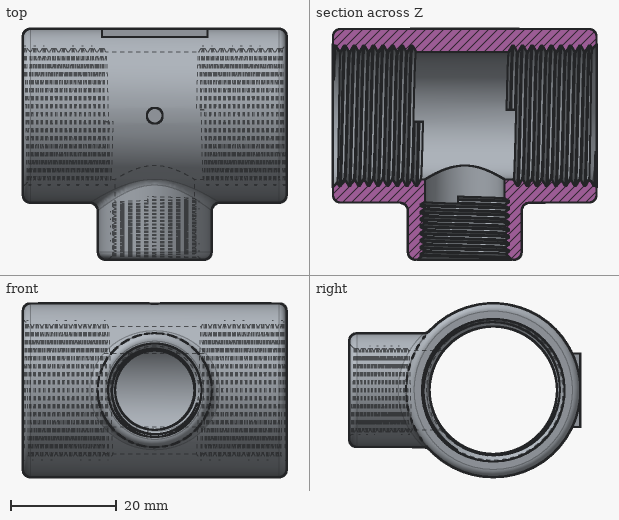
import cadquery as cq
import math

RUN_LENGTH = 50.0
RUN_DIAMETER = 33.0
RUN_BORE_DIAMETER = 24.1
RUN_THREAD_PITCH = 1.814
RUN_COUNTERSINK_DIAMETER = 27.0
RUN_THREAD_LENGTH = 16.3

BRANCH_REACH = 27.3
BRANCH_DIAMETER = 21.6
BRANCH_BORE_DIAMETER = 15.0
BRANCH_THREAD_PITCH = 1.337
BRANCH_COUNTERSINK_DIAMETER = 17.7
BRANCH_THREAD_LENGTH = 11.4

EDGE_RADIUS = 1.5

PAD_LENGTH = 20.0
PAD_HEIGHT = 14.0

MARK_DIAMETER = 3.0
MARK_DEPTH = 0.2

THREAD_FLANK_ANGLE = math.radians(30)
THREAD_FLAT_SHARE = 1 / 8
BORE_OVERLAP = 0.05

run_radius = RUN_DIAMETER / 2

RUN_END_PLANES = [
    cq.Plane(origin=(side * RUN_LENGTH / 2, 0, 0), xDir=(0, 0, -1), normal=(-side, 0, 0))
    for side in (-1, 1)
]
BRANCH_END_PLANE = cq.Plane(origin=(0, -BRANCH_REACH, 0), xDir=(0, 0, 1), normal=(0, 1, 0))


def make_outer_body():
    """Solid run and branch, filleted together and rounded at the rims."""
    run = cq.Workplane(RUN_END_PLANES[0]).circle(run_radius).extrude(RUN_LENGTH)
    branch = cq.Workplane(BRANCH_END_PLANE).circle(BRANCH_DIAMETER / 2).extrude(BRANCH_REACH)
    joint_box = cq.selectors.BoxSelector(
        (-BRANCH_DIAMETER, -BRANCH_REACH + EDGE_RADIUS, -BRANCH_DIAMETER),
        (BRANCH_DIAMETER, 0, BRANCH_DIAMETER),
    )
    body = run.union(branch)
    body = body.edges(joint_box).fillet(EDGE_RADIUS)
    return body.faces("<X or >X or <Y").edges().fillet(EDGE_RADIUS)


def make_pad():
    """Block from the run axis out to the run's outermost line on the +Y side."""
    return cq.Workplane("XY").box(PAD_LENGTH, run_radius, PAD_HEIGHT, centered=(True, False, True))


def make_mark():
    """Cutter for the round mark on top of the run."""
    floor = run_radius - MARK_DEPTH
    return cq.Workplane("XY").workplane(offset=floor).circle(MARK_DIAMETER / 2).extrude(MARK_DEPTH)


def make_countersink(plane, outer_diameter, bore_diameter):
    """45 degree cone that opens a bore at an end face."""
    outer = outer_diameter / 2
    depth = (outer_diameter - bore_diameter) / 2
    cone = cq.Solid.makeCone(outer, outer - depth, depth)
    return cq.Workplane(cone.moved(cq.Location(plane)))


def make_thread_groove(plane, bore_diameter, pitch, length):
    """Right-handed helical groove, starting one pitch outside the end face."""
    bore_radius = bore_diameter / 2
    flat = pitch * THREAD_FLAT_SHARE
    flank_slope = math.tan(THREAD_FLANK_ANGLE)
    half_root = flat / 2
    depth = (pitch / 2 - flat) / flank_slope
    inner = bore_radius - BORE_OVERLAP
    outer = bore_radius + depth
    half_mouth = half_root + (outer - inner) * flank_slope
    profile = (
        cq.Workplane("XZ")
        .moveTo(inner, -half_mouth)
        .lineTo(outer, -half_root)
        .lineTo(outer, half_root)
        .lineTo(inner, half_mouth)
        .close()
    )
    path = cq.Workplane(cq.Wire.makeHelix(pitch, length + pitch, bore_radius))
    groove = profile.sweep(path, isFrenet=True).translate((0, 0, -pitch))
    return cq.Workplane(groove.val().moved(cq.Location(plane)))


def cut_run_bore(body):
    """Straight bore through the run, countersunk and threaded from both ends."""
    bore = cq.Workplane(RUN_END_PLANES[0]).circle(RUN_BORE_DIAMETER / 2).extrude(RUN_LENGTH)
    body = body.cut(bore)
    for plane in RUN_END_PLANES:
        body = body.cut(make_countersink(plane, RUN_COUNTERSINK_DIAMETER, RUN_BORE_DIAMETER))
        body = body.cut(make_thread_groove(plane, RUN_BORE_DIAMETER, RUN_THREAD_PITCH, RUN_THREAD_LENGTH))
    return body


def cut_branch_bore(body):
    """Bore from the branch end into the run bore, countersunk and threaded."""
    plane = BRANCH_END_PLANE
    bore = cq.Workplane(plane).circle(BRANCH_BORE_DIAMETER / 2).extrude(BRANCH_REACH)
    body = body.cut(bore)
    body = body.cut(make_countersink(plane, BRANCH_COUNTERSINK_DIAMETER, BRANCH_BORE_DIAMETER))
    return body.cut(
        make_thread_groove(plane, BRANCH_BORE_DIAMETER, BRANCH_THREAD_PITCH, BRANCH_THREAD_LENGTH)
    )


outer_body = make_outer_body().union(make_pad()).cut(make_mark())
bored_body = cut_branch_bore(cut_run_bore(outer_body))
result = cq.Workplane(bored_body.solids().val())